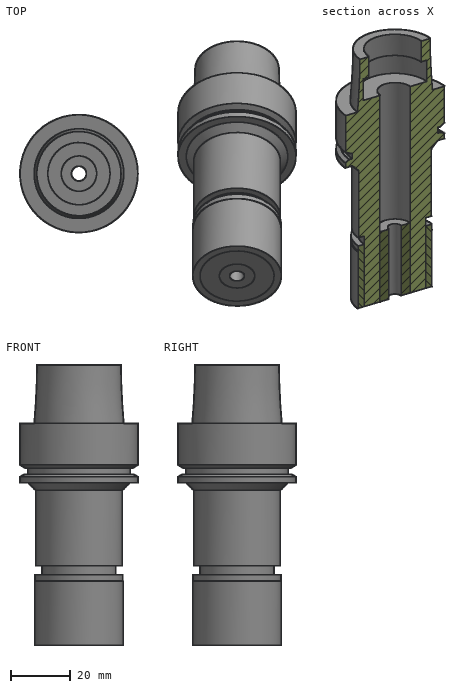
import cadquery as cq

total_height = 95.0
shank_height = 19.9
shoulder_z = total_height - shank_height
flange_height = 20.1
flange_bottom_z = shoulder_z - flange_height
tube_bottom_z = 26.9
nut_top_z = 23.9

shank_top_radius = 14.25
shank_middle_radius = 14.5
shank_bottom_radius = 15.2
mouth_radius = 10.5
mouth_depth = 8.1
chamber_radius = 12.7
chamber_depth = 16.1

flange_radius = 20.0
groove_radius = 17.4
groove_bottom_z = flange_bottom_z + 2.9
groove_width = 2.0
groove_top_z = groove_bottom_z + groove_width
upper_bevel_height = 1.1
upper_bevel_width = 1.9
lower_bevel_height = 0.9
lower_bevel_width = 1.5

tube_radius = 14.7
tube_cone_size = 2.5
neck_radius = 12.5

nut_radius = 15.0
collar_radius = 14.9
collar_height = 2.0
nut_edge_chamfer = 0.2

collet_radius = 6.0
collet_hole_radius = 2.5
collet_height = tube_bottom_z


def axial_cylinder(radius, bottom_z, top_z):
    """Cylinder on the Z axis between two heights."""
    return cq.Workplane("XY").workplane(offset=bottom_z).circle(radius).extrude(top_z - bottom_z)


def make_holder():
    """Shank, grooved flange, tube and neck revolved as one piece, then bored."""
    outside = (
        cq.Workplane("XZ")
        .moveTo(0, 0)
        .lineTo(neck_radius, 0)
        .lineTo(neck_radius, tube_bottom_z)
        .lineTo(tube_radius, tube_bottom_z)
        .lineTo(tube_radius, flange_bottom_z - tube_cone_size)
        .lineTo(tube_radius + tube_cone_size, flange_bottom_z)
        .lineTo(flange_radius, flange_bottom_z)
        .lineTo(flange_radius, groove_bottom_z - lower_bevel_height)
        .lineTo(flange_radius - lower_bevel_width, groove_bottom_z)
        .lineTo(groove_radius, groove_bottom_z)
        .lineTo(groove_radius, groove_top_z)
        .lineTo(flange_radius - upper_bevel_width, groove_top_z)
        .lineTo(flange_radius, groove_top_z + upper_bevel_height)
        .lineTo(flange_radius, shoulder_z)
        .lineTo(shank_bottom_radius, shoulder_z)
        .threePointArc(
            (shank_middle_radius, shoulder_z + shank_height / 2),
            (shank_top_radius, total_height),
        )
        .lineTo(0, total_height)
        .close()
        .revolve(360, (0, 0, 0), (0, 1, 0))
    )
    chamber_top_z = total_height - mouth_depth
    chamber_bottom_z = total_height - chamber_depth
    mouth = axial_cylinder(mouth_radius, chamber_top_z, total_height)
    chamber = axial_cylinder(chamber_radius, chamber_bottom_z, chamber_top_z)
    bore = axial_cylinder(collet_radius, 0, chamber_bottom_z)
    return outside.cut(mouth).cut(chamber).cut(bore)


def make_nut():
    """Ring around the neck, with a chamfered step below its collar."""
    barrel_top_z = nut_top_z - collar_height
    barrel = axial_cylinder(nut_radius, 0, barrel_top_z).faces(">Z").edges().chamfer(nut_edge_chamfer)
    collar = axial_cylinder(collar_radius, barrel_top_z, nut_top_z)
    neck_hole = axial_cylinder(neck_radius, 0, nut_top_z)
    return barrel.union(collar).cut(neck_hole)


def make_collet():
    """Plain sleeve filling the lower end of the holder's bore."""
    sleeve = axial_cylinder(collet_radius, 0, collet_height)
    return sleeve.cut(axial_cylinder(collet_hole_radius, 0, collet_height))


holder = make_holder()
nut = make_nut()
collet = make_collet()
result = cq.Compound.makeCompound([holder.val(), nut.val(), collet.val()])